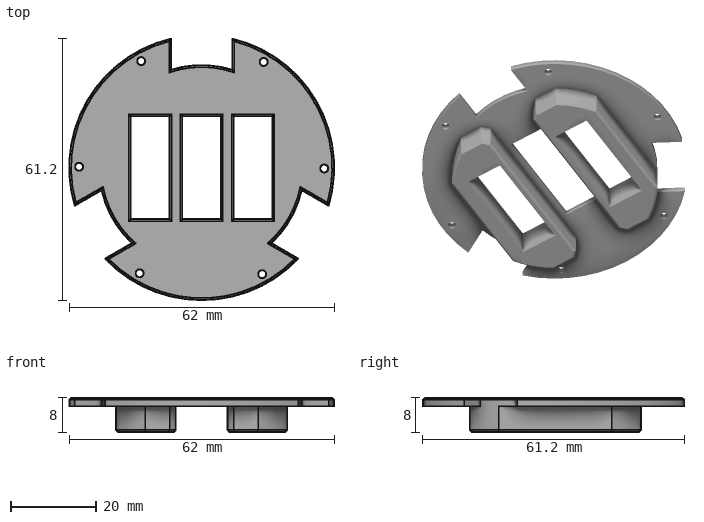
import cadquery as cq
import math

plate_radius = 31.0
plate_thickness = 2.0
edge_chamfer = 0.5

notch_count = 3
notch_width = 14.25
notch_floor_radius = 24.0

window_width = 9.0
window_length = 24.0
window_pitch = 12.0

boss_height = 6.0
boss_inner_x = 6.0
boss_outer_x = 20.0
boss_length = 2 * boss_outer_x
boss_corner = 1.5

hole_count = 6
hole_diameter = 1.8
hole_ring_radius = 28.65
hole_ring_turn = -0.4

total_height = plate_thickness + boss_height


def make_plate():
    """Disc with notches whose floors are arcs about the disc centre."""
    plate = cq.Workplane("XY").circle(plate_radius).extrude(-plate_thickness)
    core = cq.Workplane("XY").circle(notch_floor_radius).extrude(-plate_thickness)
    notch = (
        cq.Workplane("XY")
        .rect(notch_width, plate_radius)
        .extrude(-plate_thickness)
        .translate((0, plate_radius, 0))
        .cut(core)
    )
    for i in range(notch_count):
        plate = plate.cut(notch.rotate((0, 0, 0), (0, 0, 1), i * 360 / notch_count))
    return plate


def make_boss():
    """Boss on the +X side: a block with its outer corners trimmed to an arc."""
    width = boss_outer_x - boss_inner_x
    block = (
        cq.Workplane("XY")
        .box(width, boss_length, boss_height, centered=(False, True, False))
        .translate((boss_inner_x, 0, -total_height))
        .edges("|Z and <X")
        .chamfer(boss_corner)
    )
    trim = (
        cq.Workplane("XY")
        .workplane(offset=-total_height)
        .circle(notch_floor_radius)
        .extrude(boss_height)
    )
    return block.intersect(trim).faces("<Z").chamfer(edge_chamfer)


plate = make_plate()
window_centres = [(i * window_pitch, 0) for i in (-1, 0, 1)]
windows = (
    cq.Workplane("XY")
    .pushPoints(window_centres)
    .rect(window_width, window_length)
    .extrude(-total_height)
)
plate = plate.cut(windows).faces(">Z").edges().chamfer(edge_chamfer)

boss = make_boss()
bosses = boss.union(boss.mirror("YZ")).cut(windows)

hole_angles = [math.radians(hole_ring_turn + i * 360 / hole_count) for i in range(hole_count)]
hole_centres = [(hole_ring_radius * math.cos(a), hole_ring_radius * math.sin(a)) for a in hole_angles]
holes = (
    cq.Workplane("XY")
    .pushPoints(hole_centres)
    .circle(hole_diameter / 2)
    .extrude(-plate_thickness)
)

result = plate.union(bosses).cut(holes)